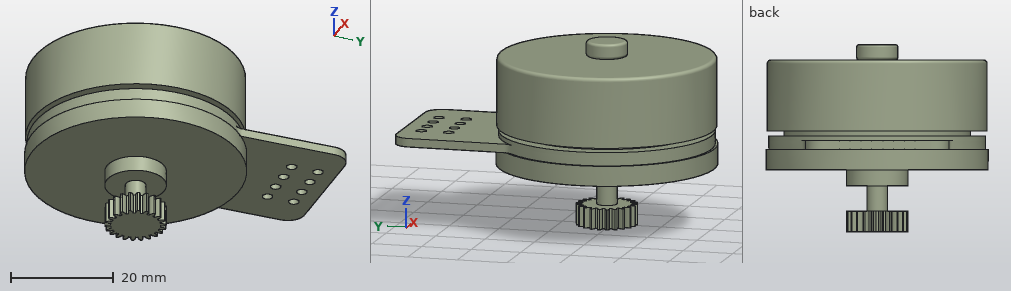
import cadquery as cq
import math


pinion_top = 4.05
hub_bottom = 8.95
base_bottom = 12.05
plate_bottom = 16.05
plate_top = 17.75
ring_top = 18.7
bell_bottom = 19.6
bell_top = 33.4
total_height = 36.4

base_radius = 21.6
plate_radius = 21.1
neck_radius = 18.2
hub_radius = 6.0

bell_radius = 21.4
bell_edge_fillet = 0.75

shaft_radius = 2.0
cap_radius = 4.05
cap_edge_fillet = 0.55

overall_length = 61.2
tab_end = overall_length - base_radius
tab_width = 28.0
tab_corner_radius = 3.5
tab_root_fillet = 2.0

hole_diameter = 2.0
hole_columns = 4
hole_rows = 2
column_pitch = 4.2
row_pitch = 5.5
end_margin = 3.9

tooth_count = 22
tip_radius = hub_radius
gear_module = 2 * tip_radius / (tooth_count + 2)
pitch_radius = tip_radius - gear_module
root_radius = pitch_radius - 1.25 * gear_module
half_tooth_at_tip = 0.1
half_tooth_at_pitch = 0.25
half_tooth_at_root = 0.34


def disc(radius, bottom, top):
    """A cylinder on the Z axis between two heights."""
    return cq.Workplane("XY").workplane(offset=bottom).circle(radius).extrude(top - bottom)


def tab_outline():
    """Tab from the axis to its rounded end, blended into the round plate by two concave arcs."""
    half_width = tab_width / 2
    blend_x = half_width + tab_root_fillet
    blend_distance = plate_radius + tab_root_fillet
    blend_y = math.sqrt(blend_distance**2 - blend_x**2)
    rim_x = blend_x * plate_radius / blend_distance
    rim_y = blend_y * plate_radius / blend_distance
    return (
        cq.Workplane("XY")
        .workplane(offset=plate_bottom)
        .moveTo(0, 0)
        .lineTo(rim_x, rim_y)
        .radiusArc((half_width, blend_y), tab_root_fillet)
        .lineTo(half_width, tab_end)
        .lineTo(-half_width, tab_end)
        .lineTo(-half_width, blend_y)
        .radiusArc((-rim_x, rim_y), tab_root_fillet)
        .close()
    )


def make_plate():
    """Round plate with its tab, not yet drilled."""
    tab = tab_outline().extrude(plate_top - plate_bottom)
    tab = tab.edges("|Z and >Y").fillet(tab_corner_radius)
    return disc(plate_radius, plate_bottom, plate_top).union(tab)


def make_tab_holes():
    """Cutters for the grid of holes near the end of the tab."""
    grid_center_y = tab_end - end_margin - row_pitch * (hole_rows - 1) / 2
    return (
        cq.Workplane("XY")
        .workplane(offset=plate_bottom)
        .center(0, grid_center_y)
        .rarray(column_pitch, row_pitch, hole_columns, hole_rows)
        .circle(hole_diameter / 2)
        .extrude(plate_top - plate_bottom)
    )


def make_stator():
    """Hub, base, tabbed plate, ring and neck in one piece, bored for the spindle."""
    stator = disc(hub_radius, hub_bottom, base_bottom)
    stator = stator.union(disc(base_radius, base_bottom, plate_bottom))
    stator = stator.union(make_plate().cut(make_tab_holes()))
    stator = stator.union(disc(plate_radius, plate_top, ring_top), clean=False)
    stator = stator.union(disc(neck_radius, ring_top, bell_bottom), clean=False)
    return stator.cut(disc(shaft_radius, hub_bottom, bell_bottom), clean=False)


def make_bell():
    """Rotor bell with a rounded top edge, bored for the spindle."""
    bell = disc(bell_radius, bell_bottom, bell_top)
    bell = bell.faces(">Z").edges().fillet(bell_edge_fillet)
    return bell.cut(disc(shaft_radius, bell_bottom, bell_top))


def polar_point(radius, angle):
    return (radius * math.cos(angle), radius * math.sin(angle))


def make_pinion():
    """Spur pinion with a tooth on the +X axis; the curved flanks bulge at the pitch circle."""
    tooth_pitch = 2 * math.pi / tooth_count
    at_tip = half_tooth_at_tip * tooth_pitch
    at_pitch = half_tooth_at_pitch * tooth_pitch
    at_root = half_tooth_at_root * tooth_pitch

    outline = cq.Workplane("XY").moveTo(*polar_point(root_radius, -at_root))
    for tooth in range(tooth_count):
        angle = tooth * tooth_pitch
        rising_flank = polar_point(pitch_radius, angle - at_pitch)
        tip_start = polar_point(tip_radius, angle - at_tip)
        tip_middle = polar_point(tip_radius, angle)
        tip_end = polar_point(tip_radius, angle + at_tip)
        falling_flank = polar_point(pitch_radius, angle + at_pitch)
        root_start = polar_point(root_radius, angle + at_root)
        outline = (
            outline
            .threePointArc(rising_flank, tip_start)
            .threePointArc(tip_middle, tip_end)
            .threePointArc(falling_flank, root_start)
        )
        if tooth < tooth_count - 1:
            outline = outline.lineTo(*polar_point(root_radius, angle + tooth_pitch - at_root))
    return outline.close().extrude(pinion_top)


def make_spindle():
    """Pinion, shaft and a cap rounded on both edges, in one piece."""
    cap = disc(cap_radius, bell_top, total_height).edges().fillet(cap_edge_fillet)
    shaft = disc(shaft_radius, pinion_top, bell_top)
    return make_pinion().union(shaft).union(cap)


stator = make_stator()
bell = make_bell()
spindle = make_spindle()

result = cq.Compound.makeCompound([stator.val(), bell.val(), spindle.val()])